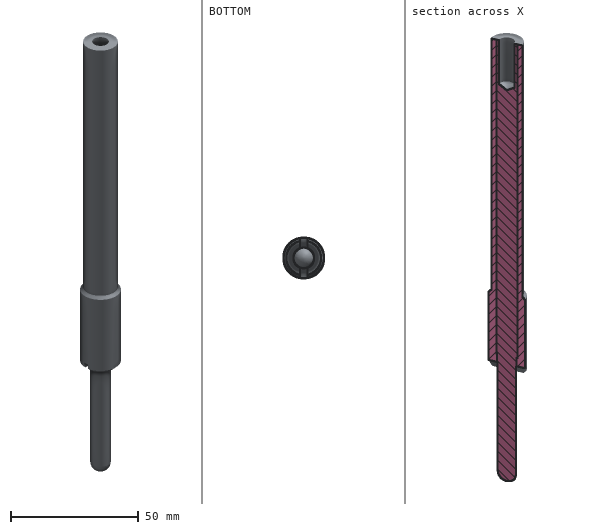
import cadquery as cq
import math

total_length = 198.0
housing_bottom = 49.5
collar_top = 84.7

collar_diameter = 16.0
barrel_diameter = 13.7
collar_chamfer = (collar_diameter - barrel_diameter) / 2
slot_width = 3.0
slot_depth = 3.2

shank_diameter = 8.1
body_diameter = 9.0
shoulder_clearance = 4.0
shoulder_height = housing_bottom + slot_depth + shoulder_clearance
tip_rounding = 4.0
cup_diameter = 6.5
cup_depth = 19.8
cup_cone_angle = 118


def cylinder(diameter, bottom, top):
    """Solid cylinder on the Z axis between two heights."""
    return cq.Workplane("XY").workplane(offset=bottom).circle(diameter / 2).extrude(top - bottom)


def make_pin():
    """Stepped contact pin with a rounded tip and a drilled solder cup."""
    shank = cylinder(shank_diameter, 0, shoulder_height).faces("<Z").edges().fillet(tip_rounding)
    body = cylinder(body_diameter, shoulder_height, total_length)
    cup_floor = total_length - cup_depth
    cup = cylinder(cup_diameter, cup_floor, total_length)
    cup_radius = cup_diameter / 2
    cone_height = cup_radius / math.tan(math.radians(cup_cone_angle / 2))
    cone = cq.Workplane(
        cq.Solid.makeCone(cup_radius, 0, cone_height, cq.Vector(0, 0, cup_floor), cq.Vector(0, 0, -1))
    )
    return shank.union(body).cut(cup).cut(cone)


def make_housing():
    """Insulating sleeve with a chamfered collar, a driver slot and a stepped bore."""
    collar = cylinder(collar_diameter, housing_bottom, collar_top)
    collar = collar.edges("%CIRCLE").chamfer(collar_chamfer)
    sleeve = collar.union(cylinder(barrel_diameter, collar_top, total_length))
    slot = (
        cq.Workplane("XY")
        .workplane(offset=housing_bottom)
        .rect(slot_width, collar_diameter)
        .extrude(slot_depth)
    )
    shank_bore = cylinder(shank_diameter, housing_bottom, shoulder_height)
    body_bore = cylinder(body_diameter, shoulder_height, total_length)
    return sleeve.cut(slot).cut(shank_bore).cut(body_bore)


housing = make_housing()
pin = make_pin()
result = cq.Compound.makeCompound([housing.val(), pin.val()])